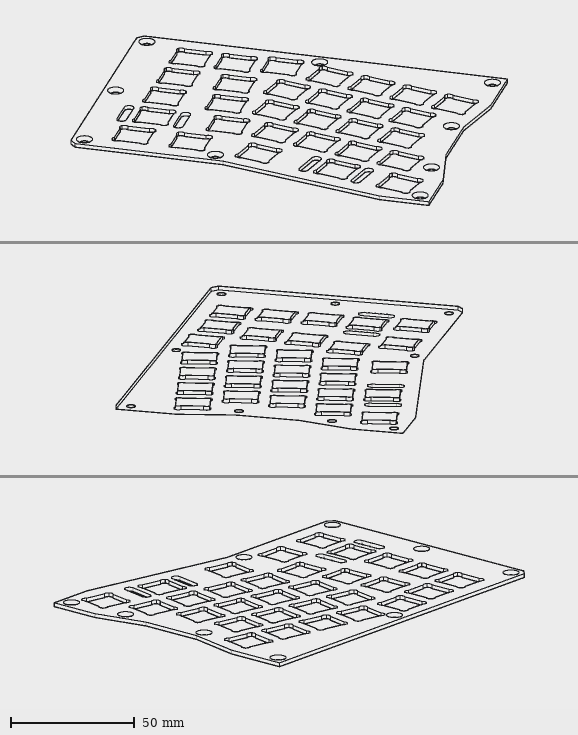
import math

import cadquery as cq

LENGTH = 155.0
WIDTH = 120.0
THICKNESS = 1.67
CORNER_CUT = 2.5
MAIN_FRONT_Y = 14.85
SLOPE_START_X = 64.5
SLOPE_END_X = 134.4
WAIST_X = 149.9
WAIST_BREAKS_Y = (21.7, 44.7, 71.5, 94.5)

SCREW_DIAMETER = 3.5
SCREW_HEAD_DIAMETER = 6.5
SCREW_HEAD_ANGLE = 90.0
SCREW_INSET = 5.0
LEFT_X = SCREW_INSET
RIGHT_X = LENGTH - SCREW_INSET
BACK_Y = WIDTH - SCREW_INSET
FRONT_Y = MAIN_FRONT_Y + SCREW_INSET
FRONT_SCREW_X = 60.0
SCREWS = [
    (LEFT_X, BACK_Y),
    (LENGTH / 2, BACK_Y),
    (RIGHT_X, BACK_Y),
    (LEFT_X, (BACK_Y + FRONT_Y) / 2),
    (LEFT_X, FRONT_Y),
    (FRONT_SCREW_X, FRONT_Y),
    (RIGHT_X, SCREW_INSET),
    (144.85, 71.2),
    (147.4, 31.6),
]

KEY_PITCH = 19.05
KEY_SIZE = 14.0
RELIEF_RADIUS = 1.75
RELIEF_INSET = 1.25

SLOT_WIDTH = 3.9
SLOT_LENGTH = 15.0
SLOT_DIRECTION = 90.0
SLOT_SPACING = 23.8
SLOT_SHIFT = -0.65

STRAIGHT_BACK_ROW_Y = 105.5
STRAIGHT_ROWS_X = [
    (26.05, 44.9),
    (26.05, 49.85),
    (25.5, 51.65),
    (26.4, 57.4),
    (23.2, 47.0),
]
RAISED_KEY = (63.9, 107.35)
STRAIGHT_WIDE_KEY = (3, 0)

TILT = -12.0
TILTED_ORIGIN = (84.9, 103.3)
TILTED_ROWS = [
    (0.0, 4),
    (-0.5, 4),
    (-0.25, 4),
    (0.25, 4),
]
TILTED_FRONT_ROW = 4
TILTED_WIDE_KEY_OFFSET = 2.25
TILTED_LAST_KEY_OFFSET = 3.75
TILTED_THUMB_KEY = (76.45, 26.0)

CUT_MARGIN = 1.0
CUT_DEPTH = THICKNESS + 2 * CUT_MARGIN


def plate():
    bend_front, recess_front, recess_back, bend_back = WAIST_BREAKS_Y
    outline = [
        (CORNER_CUT, MAIN_FRONT_Y),
        (SLOPE_START_X, MAIN_FRONT_Y),
        (SLOPE_END_X, 0),
        (LENGTH, 0),
        (LENGTH, bend_front),
        (WAIST_X, recess_front),
        (WAIST_X, recess_back),
        (LENGTH, bend_back),
        (LENGTH, WIDTH),
        (CORNER_CUT, WIDTH),
        (0, WIDTH - CORNER_CUT),
        (0, MAIN_FRONT_Y + CORNER_CUT),
    ]
    return cq.Workplane("XY").polyline(outline).close().extrude(THICKNESS)


def rotated(x, y, angle):
    turn = math.radians(angle)
    return (
        x * math.cos(turn) - y * math.sin(turn),
        x * math.sin(turn) + y * math.cos(turn),
    )


def cutter_plane():
    return cq.Workplane("XY").workplane(offset=-CUT_MARGIN)


def key_cutter():
    relief_spacing = KEY_SIZE - 2 * RELIEF_INSET
    square = cutter_plane().rect(KEY_SIZE, KEY_SIZE).extrude(CUT_DEPTH)
    reliefs = (
        cutter_plane()
        .rect(relief_spacing, relief_spacing, forConstruction=True)
        .vertices()
        .circle(RELIEF_RADIUS)
        .extrude(CUT_DEPTH)
    )
    return square.union(reliefs).val()


def slot_cutter():
    return cutter_plane().slot2D(SLOT_LENGTH, SLOT_WIDTH, SLOT_DIRECTION).extrude(CUT_DEPTH).val()


def placed(cutter, position, angle):
    x, y = position
    return cutter.moved(cq.Location(cq.Vector(x, y, 0), cq.Vector(0, 0, 1), angle))


def tilted_position(columns, row):
    dx, dy = rotated(columns * KEY_PITCH, -row * KEY_PITCH, TILT)
    return (TILTED_ORIGIN[0] + dx, TILTED_ORIGIN[1] + dy)


def straight_keys():
    return [
        [(x, STRAIGHT_BACK_ROW_Y - row * KEY_PITCH) for x in row_x]
        for row, row_x in enumerate(STRAIGHT_ROWS_X)
    ]


def tilted_keys():
    keys = [
        tilted_position(offset + column, row)
        for row, (offset, count) in enumerate(TILTED_ROWS)
        for column in range(count)
    ]
    for offset in (TILTED_WIDE_KEY_OFFSET, TILTED_LAST_KEY_OFFSET):
        keys.append(tilted_position(offset, TILTED_FRONT_ROW))
    keys.append(TILTED_THUMB_KEY)
    return keys


def stabiliser_slots(key_position, angle):
    slots = []
    for side in (-1, 1):
        dx, dy = rotated(side * SLOT_SPACING / 2, SLOT_SHIFT, angle)
        position = (key_position[0] + dx, key_position[1] + dy)
        slots.append(placed(slot_cutter(), position, angle))
    return slots


def openings():
    opening = key_cutter()
    straight = straight_keys()
    cutters = [placed(opening, key, 0) for row in straight for key in row]
    cutters.append(placed(opening, RAISED_KEY, 0))
    cutters += [placed(opening, key, TILT) for key in tilted_keys()]

    wide_row, wide_place = STRAIGHT_WIDE_KEY
    cutters += stabiliser_slots(straight[wide_row][wide_place], 0)
    cutters += stabiliser_slots(tilted_position(TILTED_WIDE_KEY_OFFSET, TILTED_FRONT_ROW), TILT)
    return cq.Compound.makeCompound(cutters)


def with_screw_holes(body):
    return (
        body.faces(">Z")
        .workplane(origin=(0, 0, THICKNESS))
        .pushPoints(SCREWS)
        .cskHole(SCREW_DIAMETER, SCREW_HEAD_DIAMETER, SCREW_HEAD_ANGLE)
    )


result = with_screw_holes(plate()).cut(cq.Workplane(openings()))